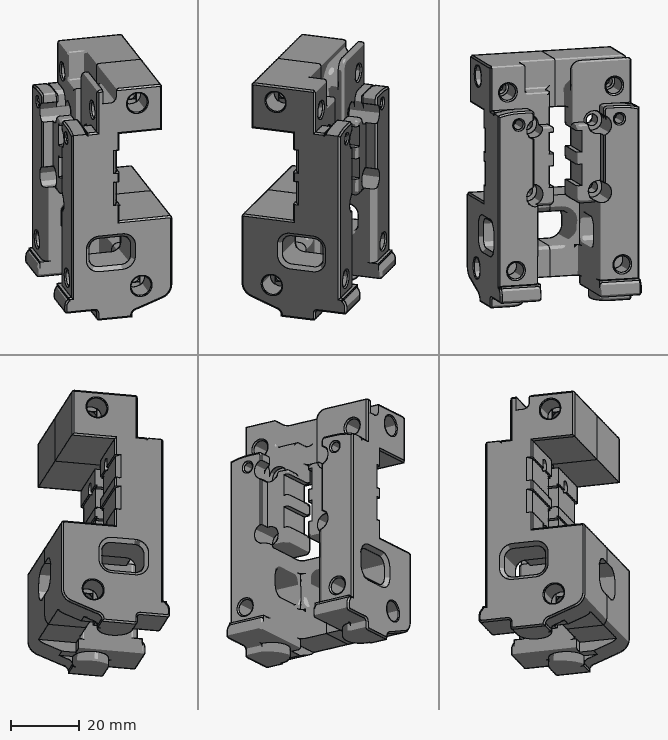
import cadquery as cq
import math

HALF_WIDTH = 21.62
TOTAL_HEIGHT = 71.7
TOTAL_DEPTH = 32.4
CLEARANCE = 0.7
OUTER_CHAMFER = 0.5
EDGE_RADIUS = 0.85

PILLAR_FRONT = 2.0
MID_FRONT = 5.4
PLATE_FRONT = 9.7
BACK_RECESS = 16.5
TOP_BLOCK_BACK = 29.3
LEG_BOTTOM = 3.15
LIP_TOP = 7.95
LIP_STEP = 1.0
LIP_RADIUS = 2.6
LOWER_BLOCK_TOP = 30.4
MID_TOP = 53.7
TOP_BLOCK_BOTTOM = 57.6
SHOULDER_TOP = 58.7

FOOT_RADIUS = 5.3
FOOT_CENTRE_X = -15.6
FOOT_BACK = PLATE_FRONT + 2 * FOOT_RADIUS

LEG_INNER_X = -9.0
CAVITY_BACK = 20.1
CAVITY_CORNER = 1.65
LEG_FRONT_RADIUS = 2.15
WALL_BOTTOM = 6.2
RELIEF_INNER_X = -12.2

PILLAR_INNER_X = -10.6
PILLAR_CHAMFER = 0.5
SHOULDER_INNER_X = -12.9
SHOULDER_RADIUS = 2.9
CAP_TOP = 59.45
CAP_SIDE_TOP = 58.5
CAP_BACK = 6.95
CAP_BACK_CHAMFER = 0.65
CAP_CORNER = 1.1
CAP_CREST_X = -15.4

SLOT_X = -3.4
SLOT_BACK = 15.5
SLOT_CORNER = 1.95
TOOTH_END_RADIUS = 1.4
TOOTH_GAP_X = -4.95
TOOTH_GAP_BOTTOMS = (35.7, 45.7)
TOOTH_GAP_HEIGHT = 6.4
MID_EDGE_RADIUS = 1.0

NOTCH_BOTTOMS = (35.5, 45.4)
NOTCH_HEIGHT = 7.2
NOTCH_FLOOR = 16.0
NOTCH_SIDE_Y = 14.7
NOTCH_RAMP_WIDTH = 1.15

POCKET_X = -10.8
POCKET_FLOOR = 63.2
POCKET_CORNER = 0.9

CHANNEL_FRONT = 11.4
CHANNEL_FLOOR = 67.55
CHANNEL_BEND = 4.45
PLATE_CORNER = 3.1

FRONT_WINDOW_WIDTH = 15.0
FRONT_WINDOW_BOTTOM = 15.2
FRONT_WINDOW_TOP = 25.25
FRONT_WINDOW_CORNER = 4.0
FRONT_WINDOW_FLARE = 2.1
SIDE_WINDOW_FRONT = 7.5
SIDE_WINDOW_BACK = 20.15
SIDE_WINDOW_BOTTOM = 16.4
SIDE_WINDOW_TOP = 25.25
SIDE_WINDOW_CORNER = 2.9
SIDE_WINDOW_CHAMFER = 1.15
SIDE_WINDOW_RIM_BOTTOM = SIDE_WINDOW_BOTTOM - SIDE_WINDOW_CHAMFER
SIDE_WINDOW_RIM_TOP = SIDE_WINDOW_TOP + SIDE_WINDOW_CHAMFER

SCREW_X = -10.0
SCREW_HEIGHTS = (33.9, 53.85)
SCREW_HOLE_RADIUS = 1.7
SCREW_HEAD_RADIUS = 3.0
SCREW_HEAD_FLOOR = 11.3

BLIND_HOLE_DEPTH = 7.2
BLIND_RIM_CHAMFER = 0.4
LARGE_BLIND_RADIUS = 2.45
SMALL_BLIND_RADIUS = 1.4
UPPER_BLIND_POINT = (-16.3, 63.9)
LOWER_BLIND_POINT = (-16.3, 12.25)
SMALL_BLIND_POINT = (-15.4, 55.6)
PILOT_RADIUS = 1.7
PILOT_DEPTH = 10.05

CLAMP_POINTS = ((21.9, 66.75), (23.0, 9.55))
CLAMP_HOLE_RADIUS = 1.65
CLAMP_HEAD_RADIUS = 3.0
CLAMP_HEAD_DEPTH = 7.2
CLAMP_RIM_CHAMFER = 0.3
BRIDGE_STEP = 0.3


def box(x0, x1, y0, y1, z0, z1):
    return cq.Workplane("XY").box(x1 - x0, y1 - y0, z1 - z0, centered=False).translate((x0, y0, z0))


def rounded_rect(plane, centre, width, height, corner):
    outline = cq.Sketch().rect(width, height).vertices().fillet(corner)
    return cq.Workplane(plane, origin=centre).placeSketch(outline)


def drill(x, z, y0, y1, radius):
    """Cylinder along y between two depths."""
    return cq.Workplane("XZ", origin=(x, y0, z)).circle(radius).extrude(y0 - y1)


def edges_near(body, *points):
    """Select the edges whose middles lie closest to the points."""
    picked = body.edges(cq.selectors.NearestToPointSelector(points[0]))
    for point in points[1:]:
        picked = picked.add(body.edges(cq.selectors.NearestToPointSelector(point)))
    return picked


def side_profile_block():
    """Left half as a full-width side profile with bevelled outer edges."""
    lip_nose_z = LIP_TOP - LIP_RADIUS
    lip_step_z = lip_nose_z + math.sqrt(LIP_RADIUS**2 - (LIP_RADIUS - LIP_STEP) ** 2)
    r = EDGE_RADIUS
    profile = (
        cq.Workplane("YZ", origin=(-HALF_WIDTH, 0, 0))
        .moveTo(PLATE_FRONT, TOTAL_HEIGHT)
        .lineTo(TOP_BLOCK_BACK - r, TOTAL_HEIGHT)
        .radiusArc((TOP_BLOCK_BACK, TOTAL_HEIGHT - r), r)
        .lineTo(TOP_BLOCK_BACK, TOP_BLOCK_BOTTOM)
        .lineTo(BACK_RECESS, TOP_BLOCK_BOTTOM)
        .lineTo(BACK_RECESS, LOWER_BLOCK_TOP)
        .lineTo(TOTAL_DEPTH - r, LOWER_BLOCK_TOP)
        .radiusArc((TOTAL_DEPTH, LOWER_BLOCK_TOP - r), r)
        .lineTo(TOTAL_DEPTH, 8.75)
        .threePointArc((31.6, 6.5), (29.6, 5.0))
        .lineTo(21.95, 2.3)
        .threePointArc((20.8, 1.7), (FOOT_BACK, 0.85))
        .lineTo(FOOT_BACK, 0)
        .lineTo(PLATE_FRONT + r, 0)
        .radiusArc((PLATE_FRONT, r), r)
        .lineTo(PLATE_FRONT, LEG_BOTTOM - r)
        .radiusArc((PLATE_FRONT - r, LEG_BOTTOM), -r)
        .lineTo(r, LEG_BOTTOM)
        .radiusArc((0, LEG_BOTTOM + r), r)
        .lineTo(0, lip_nose_z)
        .radiusArc((LIP_STEP, lip_step_z), LIP_RADIUS)
        .lineTo(LIP_STEP, LIP_TOP)
        .lineTo(PILLAR_FRONT, LIP_TOP)
        .lineTo(PILLAR_FRONT, SHOULDER_TOP)
        .lineTo(PLATE_FRONT, SHOULDER_TOP)
        .close()
    )
    return profile.extrude(HALF_WIDTH).faces("<X").chamfer(OUTER_CHAMFER)


def trim_foot(body):
    """Trim everything below the leg to a foot with a half-round inner end."""
    trim = box(FOOT_CENTRE_X, 0, PLATE_FRONT - EDGE_RADIUS, TOTAL_DEPTH, -CLEARANCE, LEG_BOTTOM)
    foot_end = (
        cq.Workplane("XY", origin=(FOOT_CENTRE_X, PLATE_FRONT + FOOT_RADIUS, 0))
        .circle(FOOT_RADIUS)
        .extrude(LEG_BOTTOM)
        .faces("<Z")
        .edges()
        .fillet(EDGE_RADIUS)
    )
    return body.cut(trim.cut(foot_end))


def cut_leg_cavity(body, square_top):
    """Open the space between the legs; the rear wall ends above the leg bottoms.

    The rounded corner between leg and rear wall is left square from the side window up to square_top.
    """
    cavity = box(LEG_INNER_X, CLEARANCE, -CLEARANCE, CAVITY_BACK, -CLEARANCE, LOWER_BLOCK_TOP)
    rounded = cavity.edges("|Z and >Y and <X").fillet(CAVITY_CORNER)
    square_part = box(LEG_INNER_X, 0, 0, CAVITY_BACK, SIDE_WINDOW_RIM_BOTTOM, square_top)
    body = body.cut(rounded.union(square_part))
    under_wall = box(LEG_INNER_X, CLEARANCE, -CLEARANCE, TOTAL_DEPTH + CLEARANCE, -CLEARANCE, WALL_BOTTOM)
    relief = box(RELIEF_INNER_X, CLEARANCE, CAVITY_BACK, TOTAL_DEPTH + CLEARANCE, -CLEARANCE, WALL_BOTTOM)
    body = body.cut(under_wall).cut(relief)
    return edges_near(body, (LEG_INNER_X, CAVITY_BACK / 2, LEG_BOTTOM)).fillet(EDGE_RADIUS)


def cut_mid_recess(body):
    """Set the mid section back from the pillar, and the shoulder and plate above it further back."""
    recess = box(PILLAR_INNER_X, CLEARANCE, -CLEARANCE, MID_FRONT, SCREW_HEIGHTS[0], MID_TOP)
    recess = recess.union(box(LEG_INNER_X, CLEARANCE, -CLEARANCE, MID_FRONT, LOWER_BLOCK_TOP, MID_TOP))
    shoulder = box(SHOULDER_INNER_X, CLEARANCE, -CLEARANCE, PLATE_FRONT, MID_TOP, TOTAL_HEIGHT)
    body = body.cut(recess).cut(shoulder)
    shoulder_edge = (SHOULDER_INNER_X, (PILLAR_FRONT + PLATE_FRONT) / 2, SHOULDER_TOP)
    body = edges_near(body, shoulder_edge).fillet(SHOULDER_RADIUS)
    cap_space = box(-HALF_WIDTH, 0, -CLEARANCE, CAP_BACK, MID_TOP, TOTAL_HEIGHT)
    return body.cut(cap_space.cut(box(PILLAR_INNER_X, 0, 0, PLATE_FRONT, 0, MID_TOP)))


def cut_central_slot(body):
    """Open the slot beside the joint; it is closed behind the top block and open below it."""
    upper = box(SLOT_X, -SLOT_X, 0, SLOT_BACK, LOWER_BLOCK_TOP, TOTAL_HEIGHT + CLEARANCE)
    upper = upper.edges("|Z and >Y").fillet(SLOT_CORNER)
    through = box(SLOT_X, CLEARANCE, 0, TOTAL_DEPTH, LOWER_BLOCK_TOP, TOP_BLOCK_BOTTOM)
    return body.cut(upper).cut(through)


def round_mid_section(body):
    """Round the front edges of the mid section and its lower corner at the opening."""
    mid_depth = (MID_FRONT + BACK_RECESS) / 2
    body = edges_near(body, (SLOT_X, mid_depth, LOWER_BLOCK_TOP)).fillet(TOOTH_END_RADIUS)
    tooth_nose = (SLOT_X, MID_FRONT, (LOWER_BLOCK_TOP + MID_TOP) / 2)
    body = edges_near(body, tooth_nose).fillet(MID_EDGE_RADIUS)
    mid_x = (PILLAR_INNER_X + SLOT_X) / 2
    return edges_near(body, (mid_x, MID_FRONT, MID_TOP)).fillet(MID_EDGE_RADIUS)


def cut_tooth_gaps(body):
    for bottom in TOOTH_GAP_BOTTOMS:
        gap = box(TOOTH_GAP_X, CLEARANCE, 0, TOTAL_DEPTH, bottom, bottom + TOOTH_GAP_HEIGHT)
        body = body.cut(gap)
    return body


def round_leg_front(body):
    """Round the inner front edge of the leg below the mid section, and bevel the pillar above it."""
    corner = box(
        LEG_INNER_X - LEG_FRONT_RADIUS, LEG_INNER_X + CLEARANCE,
        PILLAR_FRONT - CLEARANCE, PILLAR_FRONT + LEG_FRONT_RADIUS,
        LIP_TOP, SCREW_HEIGHTS[0],
    )
    rounding = (
        cq.Workplane("XY", origin=(0, 0, LIP_TOP))
        .center(LEG_INNER_X - LEG_FRONT_RADIUS, PILLAR_FRONT + LEG_FRONT_RADIUS)
        .circle(LEG_FRONT_RADIUS)
        .extrude(TOTAL_HEIGHT)
    )
    body = body.cut(corner.cut(rounding))
    bevel = (
        cq.Workplane("XY", origin=(0, 0, SCREW_HEIGHTS[0]))
        .moveTo(PILLAR_INNER_X - PILLAR_CHAMFER, PILLAR_FRONT)
        .lineTo(PILLAR_INNER_X, PILLAR_FRONT + PILLAR_CHAMFER)
        .lineTo(PILLAR_INNER_X, PILLAR_FRONT)
        .close()
        .extrude(SCREW_HEIGHTS[1] - SCREW_HEIGHTS[0])
    )
    return body.cut(bevel)


def pillar_cap():
    """Raised front part of the pillar top: falls away outwards, rounded inwards, bevelled behind."""
    run = CAP_CREST_X + HALF_WIDTH
    drop = CAP_TOP - CAP_SIDE_TOP
    slope_radius = (run**2 + drop**2) / (2 * drop)
    cap = (
        cq.Workplane("XZ", origin=(0, PILLAR_FRONT, 0))
        .moveTo(-HALF_WIDTH, MID_TOP)
        .lineTo(-HALF_WIDTH, CAP_SIDE_TOP)
        .radiusArc((CAP_CREST_X, CAP_TOP), slope_radius)
        .lineTo(PILLAR_INNER_X - CAP_CORNER, CAP_TOP)
        .radiusArc((PILLAR_INNER_X, CAP_TOP - CAP_CORNER), CAP_CORNER)
        .lineTo(PILLAR_INNER_X, MID_TOP)
        .close()
        .extrude(PILLAR_FRONT - CAP_BACK)
    )
    cap = cap.faces(">Y").edges("not |Z").edges("not <Z").chamfer(CAP_BACK_CHAMFER)
    return cap.faces("<Y").edges("not <Z").chamfer(OUTER_CHAMFER)


def cut_back_notches(body):
    """Shallow notches across the back of the mid section, bevelled at the outer side."""
    for bottom in NOTCH_BOTTOMS:
        notch = (
            cq.Workplane("XY", origin=(0, 0, bottom))
            .moveTo(-HALF_WIDTH, NOTCH_SIDE_Y)
            .lineTo(-HALF_WIDTH + OUTER_CHAMFER, NOTCH_SIDE_Y + OUTER_CHAMFER)
            .lineTo(-HALF_WIDTH + OUTER_CHAMFER + NOTCH_RAMP_WIDTH, NOTCH_FLOOR)
            .lineTo(0, NOTCH_FLOOR)
            .lineTo(0, BACK_RECESS + CLEARANCE)
            .lineTo(-HALF_WIDTH, BACK_RECESS + CLEARANCE)
            .close()
            .extrude(NOTCH_HEIGHT)
        )
        body = body.cut(notch)
    return body


def cut_front_window(body):
    """Oval opening through the rear wall, flared towards the cavity with a quarter-round."""
    height = FRONT_WINDOW_TOP - FRONT_WINDOW_BOTTOM
    middle = (FRONT_WINDOW_TOP + FRONT_WINDOW_BOTTOM) / 2
    flare = FRONT_WINDOW_FLARE
    window = rounded_rect(
        "XZ", (0, TOTAL_DEPTH, middle), FRONT_WINDOW_WIDTH, height, FRONT_WINDOW_CORNER
    ).extrude(TOTAL_DEPTH - CAVITY_BACK)
    cover = box(
        -HALF_WIDTH, HALF_WIDTH, CAVITY_BACK - CLEARANCE, CAVITY_BACK, WALL_BOTTOM, LOWER_BLOCK_TOP
    )
    flared = window.union(cover).faces("<Y[-2]").edges("not (<X or >X or <Z or >Z)").fillet(flare)
    allowed = box(LEG_INNER_X, -LEG_INNER_X, CAVITY_BACK, TOTAL_DEPTH, WALL_BOTTOM, LOWER_BLOCK_TOP)
    return body.cut(flared.intersect(allowed))


def cut_side_window(body):
    """Oval opening through the leg along x, bevelled at the outer face and rounded inside."""
    width = SIDE_WINDOW_BACK - SIDE_WINDOW_FRONT
    height = SIDE_WINDOW_TOP - SIDE_WINDOW_BOTTOM
    centre = ((SIDE_WINDOW_FRONT + SIDE_WINDOW_BACK) / 2, (SIDE_WINDOW_BOTTOM + SIDE_WINDOW_TOP) / 2)
    growth = SIDE_WINDOW_CHAMFER
    hole = rounded_rect("YZ", (-HALF_WIDTH, *centre), width, height, SIDE_WINDOW_CORNER)
    hole = hole.extrude(HALF_WIDTH + LEG_INNER_X)
    outer = rounded_rect(
        "YZ", (-HALF_WIDTH, *centre), width + 2 * growth, height + 2 * growth, SIDE_WINDOW_CORNER + growth
    ).extrude(growth, taper=45)
    cover = box(LEG_INNER_X, LEG_INNER_X + CLEARANCE, 0, TOTAL_DEPTH, WALL_BOTTOM, LOWER_BLOCK_TOP)
    flared = hole.union(cover).faces(">X[-2]").edges("not (<Y or >Y or <Z or >Z)").fillet(EDGE_RADIUS)
    allowed = box(-HALF_WIDTH, LEG_INNER_X, 0, TOTAL_DEPTH, 0, TOTAL_HEIGHT)
    return body.cut(flared.intersect(allowed)).cut(outer)


def cut_frame_screws(body):
    for height in SCREW_HEIGHTS:
        head = drill(SCREW_X, height, -CLEARANCE, SCREW_HEAD_FLOOR, SCREW_HEAD_RADIUS)
        hole = drill(SCREW_X, height, 0, TOTAL_DEPTH, SCREW_HOLE_RADIUS)
        body = body.cut(head).cut(hole)
    return body


def blind_hole(point, face_y, radius):
    """Blind bore from a front face with a bevelled rim."""
    x, z = point
    bore = drill(x, z, face_y, face_y + BLIND_HOLE_DEPTH, radius)
    rim = cq.Workplane("XZ", origin=(x, face_y, z)).circle(radius + BLIND_RIM_CHAMFER)
    return bore.union(rim.extrude(-BLIND_RIM_CHAMFER, taper=45))


def cut_blind_holes(body):
    x, z = UPPER_BLIND_POINT
    pilot = drill(x, z, PLATE_FRONT, PLATE_FRONT + PILOT_DEPTH, PILOT_RADIUS)
    return (
        body.cut(blind_hole(UPPER_BLIND_POINT, PLATE_FRONT, LARGE_BLIND_RADIUS))
        .cut(pilot)
        .cut(blind_hole(LOWER_BLIND_POINT, PILLAR_FRONT, LARGE_BLIND_RADIUS))
        .cut(blind_hole(SMALL_BLIND_POINT, PILLAR_FRONT, SMALL_BLIND_RADIUS))
    )


def cut_clamp_screws(body):
    """Bevelled head bore, then a slot-shaped step, a square step and the round hole."""
    size = 2 * CLAMP_HOLE_RADIUS
    floor_x = CLAMP_HEAD_DEPTH - HALF_WIDTH
    for y, z in CLAMP_POINTS:
        outside = cq.Workplane("YZ", origin=(-HALF_WIDTH, y, z))
        floor = cq.Workplane("YZ", origin=(floor_x, y, z))
        rim = outside.circle(CLAMP_HEAD_RADIUS + CLAMP_RIM_CHAMFER).extrude(CLAMP_RIM_CHAMFER, taper=45)
        head = outside.circle(CLAMP_HEAD_RADIUS).extrude(CLAMP_HEAD_DEPTH)
        slot = floor.rect(size, 2 * CLAMP_HEAD_RADIUS).extrude(BRIDGE_STEP)
        slot = slot.intersect(floor.circle(CLAMP_HEAD_RADIUS).extrude(BRIDGE_STEP))
        square = floor.rect(size, size).extrude(2 * BRIDGE_STEP)
        hole = outside.circle(CLAMP_HOLE_RADIUS).extrude(HALF_WIDTH)
        for cutter in (rim, head, slot, square, hole):
            body = body.cut(cutter)
    return body


def shared_body(square_top):
    """Everything the two halves share apart from the front openings' rounding and the bores."""
    body = side_profile_block()
    body = trim_foot(body)
    body = cut_leg_cavity(body, square_top)
    body = cut_mid_recess(body)
    body = cut_central_slot(body)
    body = round_mid_section(body)
    body = cut_tooth_gaps(body)
    body = round_leg_front(body)
    return cut_back_notches(body)


def finish_half(body):
    """Add the pillar cap, then cut the windows and bores that both halves share."""
    body = body.union(pillar_cap())
    body = cut_front_window(body)
    body = cut_side_window(body)
    body = cut_frame_screws(body)
    body = cut_blind_holes(body)
    return cut_clamp_screws(body)


def left_half():
    """Left half, with a stepped pocket open to the top."""
    pocket = box(POCKET_X, CLEARANCE, 0, SLOT_BACK, POCKET_FLOOR, TOTAL_HEIGHT + CLEARANCE)
    pocket = edges_near(
        pocket,
        (POCKET_X, SLOT_BACK, TOTAL_HEIGHT),
        (POCKET_X, PLATE_FRONT, POCKET_FLOOR),
        (POCKET_X / 2, SLOT_BACK, POCKET_FLOOR),
    ).fillet(POCKET_CORNER)
    body = shared_body(SIDE_WINDOW_RIM_TOP).cut(pocket)
    middle_y = (PLATE_FRONT + SLOT_BACK) / 2
    body = edges_near(
        body,
        (SLOT_X, PLATE_FRONT, (MID_TOP + POCKET_FLOOR) / 2),
        ((POCKET_X + SLOT_X) / 2, PLATE_FRONT, POCKET_FLOOR),
        (POCKET_X, PLATE_FRONT, (POCKET_FLOOR + TOTAL_HEIGHT) / 2),
        ((POCKET_X - HALF_WIDTH) / 2, PLATE_FRONT, TOTAL_HEIGHT),
        (POCKET_X, middle_y, TOTAL_HEIGHT),
        (POCKET_X / 2, SLOT_BACK, TOTAL_HEIGHT),
    ).fillet(EDGE_RADIUS)
    return finish_half(body)


def right_half():
    """Right half, with a cable channel that turns from the slot towards the outer side."""
    bend_x = -SLOT_X + CHANNEL_BEND
    bend_z = CHANNEL_FLOOR - CHANNEL_BEND
    top = TOTAL_HEIGHT + CLEARANCE
    channel = (
        cq.Workplane("XZ", origin=(0, SLOT_BACK, 0))
        .moveTo(-CLEARANCE, TOP_BLOCK_BOTTOM)
        .lineTo(-SLOT_X, TOP_BLOCK_BOTTOM)
        .lineTo(-SLOT_X, bend_z)
        .radiusArc((bend_x, CHANNEL_FLOOR), CHANNEL_BEND)
        .lineTo(HALF_WIDTH, CHANNEL_FLOOR)
        .lineTo(HALF_WIDTH, top)
        .lineTo(-CLEARANCE, top)
        .close()
        .extrude(SLOT_BACK - CHANNEL_FRONT)
    )
    channel = edges_near(channel, (bend_x + 3.6, SLOT_BACK, CHANNEL_FLOOR)).fillet(SLOT_CORNER)
    corner_x = -SLOT_X + PLATE_CORNER
    plate_corner = box(-SLOT_X - CLEARANCE, corner_x, 0, SLOT_BACK, TOTAL_HEIGHT - PLATE_CORNER, top).cut(
        drill(corner_x, TOTAL_HEIGHT - PLATE_CORNER, 0, SLOT_BACK, PLATE_CORNER)
    )
    body = shared_body(LOWER_BLOCK_TOP).mirror("YZ").cut(channel).cut(plate_corner)
    body = edges_near(
        body,
        (-SLOT_X, PLATE_FRONT, (MID_TOP + bend_z) / 2),
        ((corner_x + HALF_WIDTH) / 2, PLATE_FRONT, TOTAL_HEIGHT),
        (HALF_WIDTH / 2, SLOT_BACK, TOTAL_HEIGHT),
    ).fillet(EDGE_RADIUS)
    return finish_half(body.mirror("YZ")).mirror("YZ")


left_body = left_half()
right_body = right_half()
result = cq.Compound.makeCompound([left_body.val(), right_body.val()])